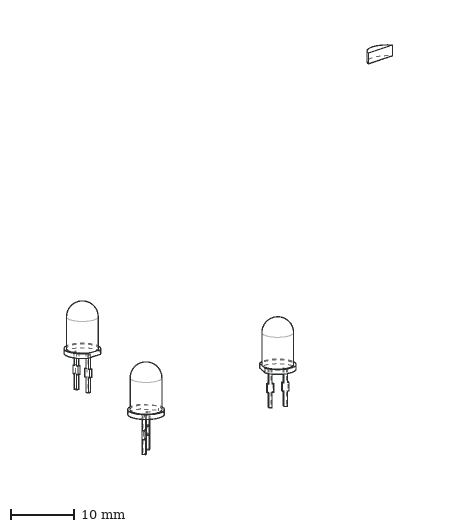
import cadquery as cq
import math

overall_length = 195.2
overall_width = 102.5

lamp_spacing = 34.5
rear_lamp_offset = 27.1

body_radius = 2.5
flange_radius = 3.0
flange_bottom = 6.2
flange_thickness = 0.8
cylinder_height = 5.3

lead_width = 0.55
lead_pitch = 2.5
stop_width = 1.05
stop_bottom = 2.5
stop_height = 1.42

segment_radius = 3.3
segment_chord = 5.9
segment_thickness = 1.82
segment_bottom = 0.62
segment_turn = 32

half_chord = segment_chord / 2
chord_offset = math.sqrt(segment_radius**2 - half_chord**2)
right_end = lamp_spacing / 2 + flange_radius
rear_end = overall_width - flange_radius
turn_radians = math.radians(segment_turn)
segment_x = right_end - overall_length + segment_radius
segment_y = rear_end + chord_offset * math.sin(turn_radians) - half_chord * math.cos(turn_radians)


def make_body():
    """Flange with one flat, facing +X and tangent to the body, under a cylinder with a domed top."""
    flange = cq.Workplane("XY").circle(flange_radius).extrude(flange_thickness)
    beyond_flat = (
        cq.Workplane("XY")
        .rect(2 * flange_radius, 2 * flange_radius)
        .extrude(flange_thickness)
        .translate((body_radius + flange_radius, 0, 0))
    )
    dome_base = flange_thickness + cylinder_height
    cylinder = cq.Workplane("XY").circle(body_radius).extrude(dome_base)
    dome = cq.Workplane("XY").sphere(body_radius).translate((0, 0, dome_base))
    body = flange.cut(beyond_flat).union(cylinder).union(dome)
    return body.translate((0, 0, flange_bottom))


def make_lead():
    """Square wire standing on height zero, with its stop widened along X."""
    wire = cq.Workplane("XY").rect(lead_width, lead_width).extrude(flange_bottom)
    stop = cq.Workplane("XY").rect(stop_width, lead_width).extrude(stop_height)
    return wire.union(stop.translate((0, 0, stop_bottom)))


def make_lamp(x, y, turn):
    """One lamp whose flange flat and lead row lie along the direction `turn`, in degrees."""
    lamp = make_body()
    for side in (-1, 1):
        lamp = lamp.union(make_lead().translate((side * lead_pitch / 2, 0, 0)))
    return lamp.rotate((0, 0, 0), (0, 0, 1), turn).translate((x, y, 0))


def make_segment():
    """Disc segment with its chord facing the direction `segment_turn`."""
    return (
        cq.Workplane("XY")
        .moveTo(-chord_offset, -half_chord)
        .lineTo(-chord_offset, half_chord)
        .threePointArc((-segment_radius, 0), (-chord_offset, -half_chord))
        .close()
        .extrude(segment_thickness)
        .rotate((0, 0, 0), (0, 0, 1), segment_turn)
        .translate((segment_x, segment_y, segment_bottom))
    )


lamp_places = [
    (-lamp_spacing / 2, 0, 30),
    (lamp_spacing / 2, 0, 150),
    (0, rear_lamp_offset, 270),
]
lamps = [make_lamp(x, y, turn) for x, y, turn in lamp_places]
segment = make_segment()
result = cq.Compound.makeCompound([lamp.val() for lamp in lamps] + [segment.val()])